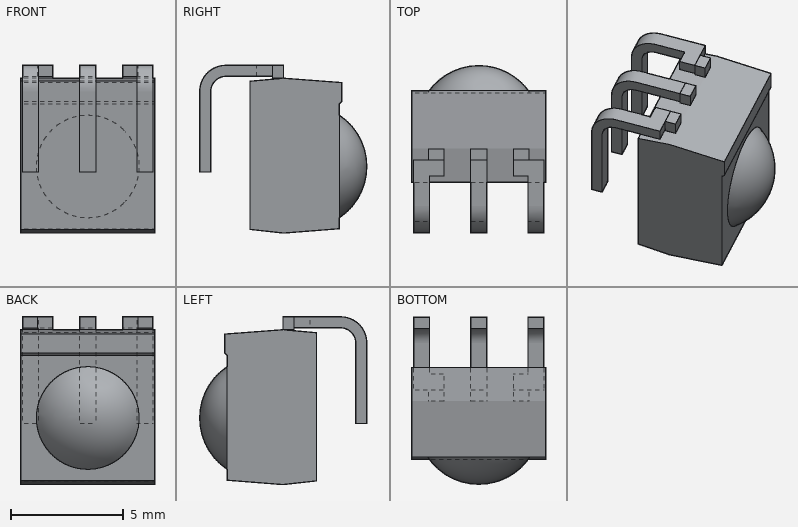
import cadquery as cq
import math


housing_width = 6.0
ridge_z = 6.92
back_y = -1.5
back_top_z = 6.79
back_bottom_z = 0.165
face_y = 2.49
face_bottom_z = 0.195
lip_y = 2.6
lip_top_z = 6.73
lip_bottom_z = 5.88
lip_chamfer = lip_y - face_y

lens_radius = 2.75
lens_apex_y = 3.72
lens_z = 2.98

lead_width = 0.72
lead_pitch = 2.55
lead_thickness = 0.5
lead_top_z = 7.5
lead_tip_z = 2.73
lead_outer_y = -3.75
bend_outer_radius = 1.18
foot_overhang = 0.64
foot_length = 0.72

stub_length = 0.495
outer_stub_width = 0.69


def make_housing():
    profile = [
        (back_y, back_bottom_z),
        (0, 0),
        (face_y, face_bottom_z),
        (face_y, lip_bottom_z - lip_chamfer),
        (lip_y, lip_bottom_z),
        (lip_y, lip_top_z),
        (0, ridge_z),
        (back_y, back_top_z),
    ]
    block = cq.Workplane("YZ").polyline(profile).close().extrude(housing_width / 2, both=True)
    return block.union(make_lens())


def make_lens():
    """Spherical cap, revolved about a Y axis, standing on the housing face."""
    centre_y = lens_apex_y - lens_radius
    face_offset = face_y - centre_y
    rim_radius = math.sqrt(lens_radius**2 - face_offset**2)
    mid_angle = math.acos(face_offset / lens_radius) / 2
    arc_middle = (lens_radius * math.sin(mid_angle), centre_y + lens_radius * math.cos(mid_angle))
    return (
        cq.Workplane("XY", origin=(0, 0, lens_z))
        .moveTo(0, face_y)
        .lineTo(rim_radius, face_y)
        .threePointArc(arc_middle, (0, lens_apex_y))
        .close()
        .revolve(360, (0, 0), (0, 1))
    )


def make_lead(side):
    """Bent lead; side is -1, 0 or 1, and the outer leads get a foot towards the middle."""
    centre_x = side * lead_pitch
    underside_z = lead_top_z - lead_thickness
    inner_y = lead_outer_y + lead_thickness
    bend_inner_radius = bend_outer_radius - lead_thickness
    bend_y = lead_outer_y + bend_outer_radius
    bend_z = lead_top_z - bend_outer_radius
    diagonal = math.sqrt(0.5)
    outer_middle = (bend_y - bend_outer_radius * diagonal, bend_z + bend_outer_radius * diagonal)
    inner_middle = (bend_y - bend_inner_radius * diagonal, bend_z + bend_inner_radius * diagonal)
    lead = (
        cq.Workplane("YZ", origin=(centre_x, 0, 0))
        .moveTo(-stub_length, lead_top_z)
        .lineTo(bend_y, lead_top_z)
        .threePointArc(outer_middle, (lead_outer_y, bend_z))
        .lineTo(lead_outer_y, lead_tip_z)
        .lineTo(inner_y, lead_tip_z)
        .lineTo(inner_y, bend_z)
        .threePointArc(inner_middle, (bend_y, underside_z))
        .lineTo(-stub_length, underside_z)
        .close()
        .extrude(lead_width / 2, both=True)
    )
    if side == 0:
        return lead
    foot_x = centre_x - side * (lead_width + foot_overhang) / 2
    foot = (
        cq.Workplane("XY", origin=(foot_x, -stub_length - foot_length / 2, underside_z))
        .rect(foot_overhang, foot_length)
        .extrude(lead_thickness)
    )
    return lead.union(foot)


def make_stub(side):
    """Short block with a flat underside level with the housing ridge, touching it along that line."""
    width = lead_width if side == 0 else outer_stub_width
    inner_end = lead_pitch - lead_width / 2 - foot_overhang
    centre_x = side * (inner_end + width / 2)
    return (
        cq.Workplane("XY", origin=(centre_x, -stub_length / 2, ridge_z))
        .rect(width, stub_length)
        .extrude(lead_top_z - ridge_z)
    )


housing = make_housing()
leads = [make_lead(side) for side in (-1, 0, 1)]
stubs = [make_stub(side) for side in (-1, 0, 1)]

result = cq.Compound.makeCompound([
    housing.val(),
    *[lead.val() for lead in leads],
    *[stub.val() for stub in stubs],
])